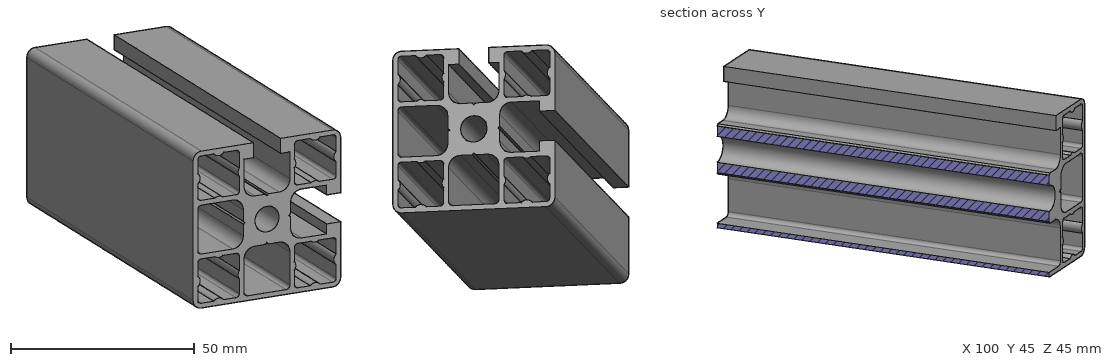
import cadquery as cq

length = 100.0
side = 45.0
corner_radius = 2.5
skin = 1.4

slot_opening = 8.3
slot_width = 14.0
lip_thickness = 4.3
core_size = 14.4
core_corner_radius = 3.3
core_bore = 7.3
chamber_outer_radius = 1.2

groove_width = 0.8
groove_depth = 0.5

web = 1.4
cell_radius = 1.0
bead_radius = 2.0
outer_bead_height = 0.7
web_bead_height = 0.4
bead_center = 14.7

half_side = side / 2
skin_face = half_side - skin
half_slot = slot_width / 2
core_face = core_size / 2
cell_face = half_slot + web
lip_face = half_side - lip_thickness

side_count = 4
quarter_turn_angle = 360 / side_count


def block(y_min, y_max, z_min, z_max):
    """Full-length bar with the given cross-section limits."""
    return (
        cq.Workplane("YZ")
        .center((y_min + y_max) / 2, (z_min + z_max) / 2)
        .rect(y_max - y_min, z_max - z_min)
        .extrude(length)
    )


def rod(y, z, radius):
    """Full-length round bar."""
    return cq.Workplane("YZ").center(y, z).circle(radius).extrude(length)


def turned(body, quarter_turns):
    """Turn a body about the profile axis; one turn takes +Z to -Y and +Y to +Z."""
    return body.rotate((0, 0, 0), (1, 0, 0), quarter_turns * quarter_turn_angle)


def core_groove():
    """V-groove in the core face that looks toward +Z."""
    return (
        cq.Workplane("YZ")
        .moveTo(-groove_width / 2, core_face)
        .lineTo(0, core_face - groove_depth)
        .lineTo(groove_width / 2, core_face)
        .close()
        .extrude(length)
    )


def open_slot():
    """T-slot opening toward +Z."""
    chamber = block(-half_slot, half_slot, core_face, lip_face)
    chamber = chamber.edges("|X and <Z").fillet(core_corner_radius)
    mouth = block(-slot_opening / 2, slot_opening / 2, lip_face, half_side)
    return chamber.union(mouth).union(core_groove())


def closed_chamber():
    """Slot chamber on the +Z side that is closed by the outer skin."""
    chamber = block(-half_slot, half_slot, core_face, skin_face)
    chamber = chamber.edges("|X and <Z").fillet(core_corner_radius)
    chamber = chamber.edges("|X and >Z").fillet(chamber_outer_radius)
    return chamber.union(core_groove())


def corner_cell():
    """Hollow in the +Y +Z corner, with a rounded bead along each of its four walls."""
    cell = block(cell_face, skin_face, cell_face, skin_face)
    cell = cell.edges("|X").fillet(cell_radius)
    outer_bead_axis = skin_face - outer_bead_height + bead_radius
    web_bead_axis = cell_face + web_bead_height - bead_radius
    for axis in (outer_bead_axis, web_bead_axis):
        cell = cell.cut(rod(axis, bead_center, bead_radius))
        cell = cell.cut(rod(bead_center, axis, bead_radius))
    return cell


result = block(-half_side, half_side, -half_side, half_side)
result = result.edges("|X").fillet(corner_radius)
result = result.cut(rod(0, 0, core_bore / 2))

for quarter in range(side_count):
    result = result.cut(turned(corner_cell(), quarter))

result = result.cut(open_slot())
result = result.cut(turned(open_slot(), 3))
result = result.cut(turned(closed_chamber(), 1))
result = result.cut(turned(closed_chamber(), 2))